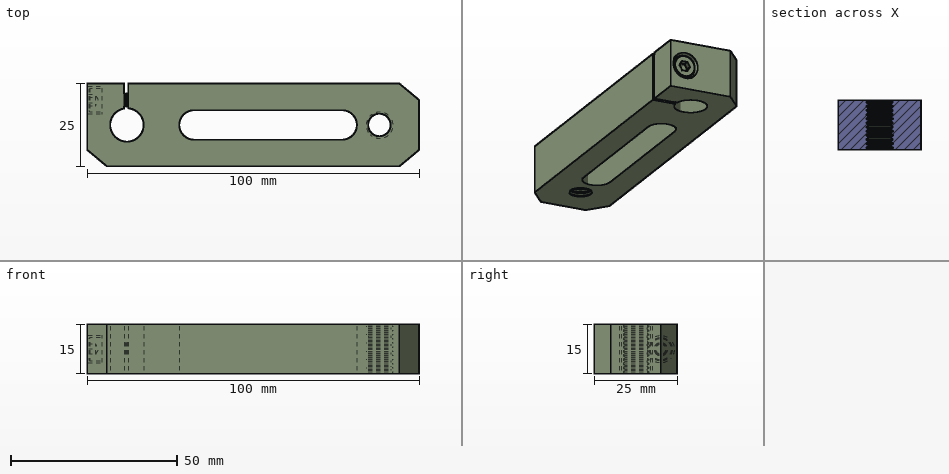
import cadquery as cq
import math

LENGTH = 100.0
WIDTH = 25.0
THICKNESS = 15.0
MID_Y = WIDTH / 2
MID_Z = THICKNESS / 2

BEVEL_X = 6.0
BEVEL_Y = 5.0

BORE_X = 12.0
BORE_DIAMETER = 10.0
SLIT_WIDTH = 1.2
SLIT_X = 11.8

SLOT_WIDTH = 8.8
SLOT_START = 27.8
SLOT_END = 81.2

THREAD_LAND = 0.25

TAP_X = 88.0
TAP_MINOR = 6.7
TAP_MAJOR = 8.0
TAP_TURNS = 12
TAP_PITCH = THICKNESS / TAP_TURNS

SCREW_Y = WIDTH - 5.0
SCREW_MAJOR = 4.0
SCREW_MINOR = 3.2
SCREW_PITCH = 0.7
HEAD_DIAMETER = 7.0
HEAD_HEIGHT = 4.0
HEAD_CHAMFER = 0.3
HEAD_RECESS = 0.5
COUNTERBORE_DIAMETER = 8.2
COUNTERBORE_DEPTH = HEAD_RECESS + HEAD_HEIGHT
SOCKET_FLATS = 3.0
SOCKET_DEPTH = 2.0
SOCKET_POINT_ANGLE = 120.0


def make_bar():
    """Bar outline with three bevelled corners."""
    outline = [
        (BEVEL_X, 0),
        (LENGTH - BEVEL_X, 0),
        (LENGTH, BEVEL_Y),
        (LENGTH, WIDTH - BEVEL_Y),
        (LENGTH - BEVEL_X, WIDTH),
        (0, WIDTH),
        (0, BEVEL_Y),
    ]
    return cq.Workplane("XY").polyline(outline).close().extrude(THICKNESS)


def make_clamp_opening():
    """Through bore joined to the +Y side by a narrow slit."""
    bore = cq.Workplane("XY").center(BORE_X, MID_Y).circle(BORE_DIAMETER / 2).extrude(THICKNESS)
    slit_length = WIDTH - MID_Y
    slit = (
        cq.Workplane("XY")
        .center(SLIT_X, MID_Y + slit_length / 2)
        .rect(SLIT_WIDTH, slit_length)
        .extrude(THICKNESS)
    )
    return bore.union(slit)


def make_adjustment_slot():
    """Round-ended through slot on the bar's centre line."""
    return (
        cq.Workplane("XY")
        .center((SLOT_START + SLOT_END) / 2, MID_Y)
        .slot2D(SLOT_END - SLOT_START, SLOT_WIDTH)
        .extrude(THICKNESS)
    )


def make_tapped_hole():
    """Through hole whose thread is a stack of V-shaped ring grooves."""
    minor_radius = TAP_MINOR / 2
    major_radius = TAP_MAJOR / 2
    land = THREAD_LAND * TAP_PITCH
    profile = cq.Workplane("XZ").moveTo(0, 0).lineTo(minor_radius, 0)
    for index in range(TAP_TURNS):
        groove_start = index * TAP_PITCH
        profile = profile.lineTo(minor_radius, groove_start + land / 2)
        profile = profile.lineTo(major_radius, groove_start + TAP_PITCH / 2)
        profile = profile.lineTo(minor_radius, groove_start + TAP_PITCH - land / 2)
        profile = profile.lineTo(minor_radius, groove_start + TAP_PITCH)
    hole = profile.lineTo(0, THICKNESS).close().revolve(360, (0, 0), (0, 1))
    return hole.translate((TAP_X, MID_Y, 0))


def make_counterbore():
    """Counterbore space in front of and around the chamfered screw head."""
    counterbore_radius = COUNTERBORE_DIAMETER / 2
    head_radius = HEAD_DIAMETER / 2
    section = [
        (0, 0),
        (HEAD_RECESS, 0),
        (HEAD_RECESS, head_radius - HEAD_CHAMFER),
        (HEAD_RECESS + HEAD_CHAMFER, head_radius),
        (COUNTERBORE_DEPTH, head_radius),
        (COUNTERBORE_DEPTH, counterbore_radius),
        (0, counterbore_radius),
    ]
    counterbore = cq.Workplane("XY").polyline(section).close().revolve(360, (0, 0), (1, 0))
    return counterbore.translate((0, SCREW_Y, MID_Z))


def make_hex_socket():
    """Hexagonal socket with corners along Y and a conical bottom."""
    corner_diameter = SOCKET_FLATS / math.cos(math.pi / 6)
    cone_radius = SOCKET_FLATS / 2
    cone_depth = cone_radius / math.tan(math.radians(SOCKET_POINT_ANGLE / 2))
    floor_x = HEAD_RECESS + SOCKET_DEPTH
    hexagon = cq.Workplane("YZ").polygon(6, corner_diameter).extrude(floor_x)
    cone = (
        cq.Workplane("XY")
        .polyline([(floor_x, 0), (floor_x, cone_radius), (floor_x + cone_depth, 0)])
        .close()
        .revolve(360, (0, 0), (1, 0))
    )
    return hexagon.union(cone).translate((0, SCREW_Y, MID_Z))


def make_screw_shank():
    """Threaded shank bridging the slit, its ends embedded in both walls."""
    minor_radius = SCREW_MINOR / 2
    major_radius = SCREW_MAJOR / 2
    ridge_count = math.ceil(SLIT_WIDTH / SCREW_PITCH) + 1
    land = THREAD_LAND * SCREW_PITCH
    shank_length = ridge_count * SCREW_PITCH
    profile = cq.Workplane("XY").moveTo(0, 0).lineTo(0, minor_radius)
    for index in range(ridge_count):
        ridge_start = index * SCREW_PITCH
        ridge_middle = ridge_start + SCREW_PITCH / 2
        profile = profile.lineTo(ridge_middle - land / 2, major_radius)
        profile = profile.lineTo(ridge_middle + land / 2, major_radius)
        profile = profile.lineTo(ridge_start + SCREW_PITCH, minor_radius)
    shank = profile.lineTo(shank_length, 0).close().revolve(360, (0, 0), (1, 0))
    return shank.translate((BORE_X - shank_length / 2, SCREW_Y, MID_Z))


result = (
    make_bar()
    .cut(make_clamp_opening())
    .cut(make_adjustment_slot())
    .cut(make_tapped_hole())
    .cut(make_counterbore())
    .cut(make_hex_socket())
    .union(make_screw_shank())
)